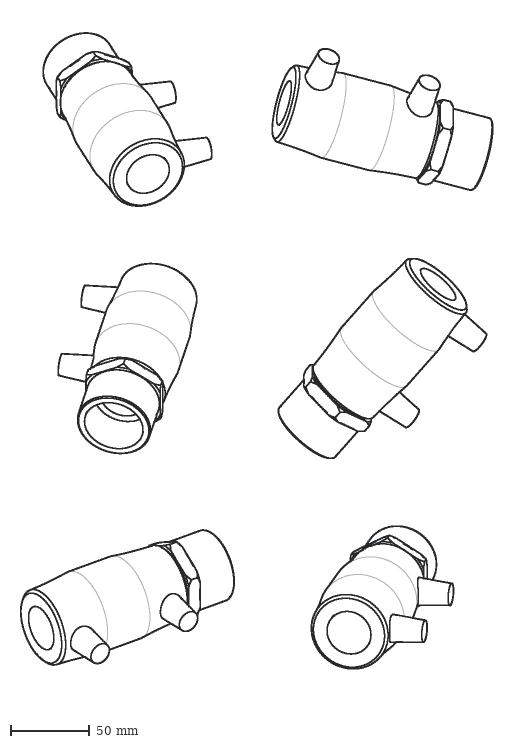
import cadquery as cq
import math

total_length = 133.0
spigot_diameter = 47.7
spigot_length = 27.0
spigot_chamfer = 0.8

hex_flats = 48.5
hex_end = 35.8
hex_chamfer_length = 2.0
hex_chamfer_depth = 2.0

body_diameter = 56.0
body_end_diameter = 50.7
body_chamfer_length = 1.9
body_chamfer_depth = 1.9
barrel_start = 68.4
barrel_end = 100.8
flank_sag = 0.4

bore_diameter = 29.0
counterbore_diameter = 38.3
counterbore_depth = spigot_length

nipple_positions = (50.5, 118.5)
nipple_tip_y = 46.0
nipple_tip_diameter = 14.2
nipple_taper = 5.0
nipple_root_y = 20.0


def make_spigot():
    spigot = cq.Workplane("YZ").circle(spigot_diameter / 2).extrude(hex_end)
    return spigot.faces("<X").chamfer(spigot_chamfer)


def make_hex_collar():
    """Hexagon with corners on +Z and -Z, its corners turned down on both faces."""
    corner_diameter = hex_flats / math.cos(math.pi / 6)
    width = hex_end - spigot_length
    prism = (
        cq.Workplane("YZ", origin=(spigot_length, 0, 0))
        .polygon(6, corner_diameter)
        .extrude(width)
        .rotate((0, 0, 0), (1, 0, 0), 90)
    )
    corner_limit = (
        cq.Workplane("YZ", origin=(spigot_length, 0, 0))
        .circle(corner_diameter / 2)
        .extrude(width)
        .faces("<X or >X")
        .chamfer(hex_chamfer_length, hex_chamfer_depth)
    )
    return prism.intersect(corner_limit)


def make_body():
    """Revolved barrel: a cylindrical middle with slightly hollow, narrowing flanks."""
    radius = body_diameter / 2
    end_radius = body_end_diameter / 2
    face_radius = end_radius - body_chamfer_depth
    left_shoulder = hex_end + body_chamfer_length
    right_shoulder = total_length - body_chamfer_length
    flank_radius = (radius + end_radius) / 2 - flank_sag
    return (
        cq.Workplane("XY")
        .moveTo(hex_end, 0)
        .lineTo(hex_end, face_radius)
        .lineTo(left_shoulder, end_radius)
        .threePointArc(((left_shoulder + barrel_start) / 2, flank_radius), (barrel_start, radius))
        .lineTo(barrel_end, radius)
        .threePointArc(((barrel_end + right_shoulder) / 2, flank_radius), (right_shoulder, end_radius))
        .lineTo(total_length, face_radius)
        .lineTo(total_length, 0)
        .close()
        .revolve(360, (0, 0, 0), (1, 0, 0))
    )


def make_nipple(x):
    length = nipple_tip_y - nipple_root_y
    root_radius = nipple_tip_diameter / 2 + length * math.tan(math.radians(nipple_taper))
    return cq.Workplane(
        cq.Solid.makeCone(
            root_radius,
            nipple_tip_diameter / 2,
            length,
            cq.Vector(x, nipple_root_y, 0),
            cq.Vector(0, 1, 0),
        )
    )


result = make_spigot().union(make_hex_collar()).union(make_body())
for position in nipple_positions:
    result = result.union(make_nipple(position))

bore = cq.Workplane("YZ").circle(bore_diameter / 2).extrude(total_length)
counterbore = cq.Workplane("YZ").circle(counterbore_diameter / 2).extrude(counterbore_depth)
result = result.cut(bore).cut(counterbore)